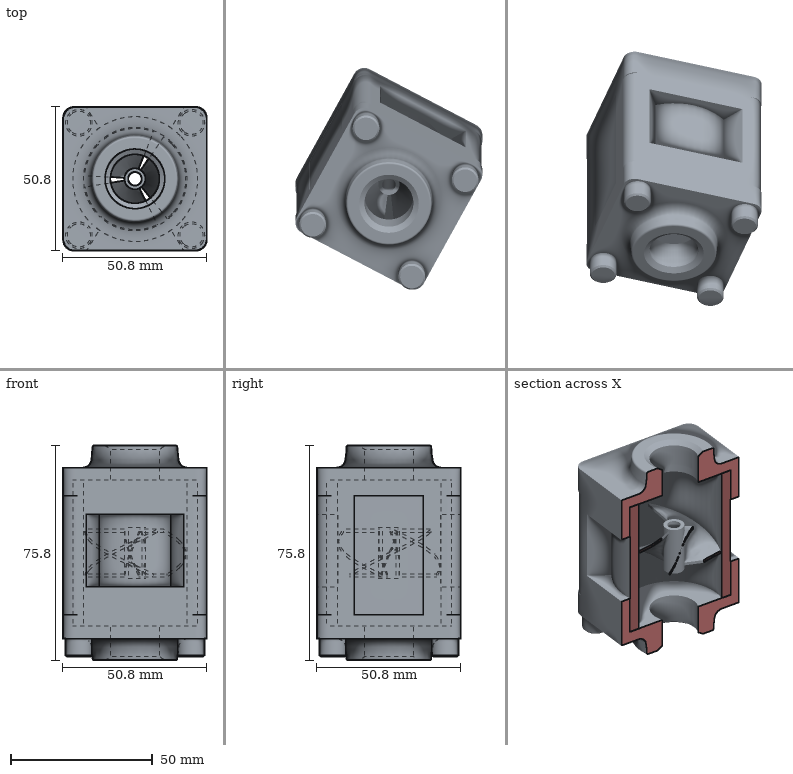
import cadquery as cq
import math

width = 50.8
block_bottom = -30.3
block_top = 30.1
overall_half_height = 37.9
corner_radius = 4.0

relief_radius = 4.85
relief_bottom = -21.9
relief_top = 20.2
relief_height = relief_top - relief_bottom

label_width = 24.35
label_depth = 0.1

neck_top_radius = 15.0
neck_base_radius = 15.4
neck_fillet = 3.0
neck_edge_round = 0.7
bore_radius = 8.65
bore_mouth_radius = 10.55
bore_mouth_depth = 1.4

foot_radius = 4.7
foot_offset = 19.9
foot_bottom = -36.7
foot_chamfer = 0.6

window_width = 34.5
window_bottom = -11.9
window_top = 13.6
window_height = window_top - window_bottom
window_wall_angle = 32.0

tube_radius = 22.1
tube_wall = 3.8
chamber_half_height = 25.7
tube_inner_radius = tube_radius - tube_wall

blade_count = 3
blade_span = 107.0
blade_start = 69.0
blade_thickness = 1.1
blade_pitch = 53.1
blade_clearance = 0.4
blade_radius = tube_inner_radius - blade_clearance
blade_rise = blade_pitch * blade_span / 360
hub_radius = 3.7
hub_hole_radius = 2.35


def rounded_block(radius, bottom, height):
    """Square block with rounded vertical edges."""
    block = cq.Workplane("XY", origin=(0, 0, bottom)).rect(width, width).extrude(height)
    return block.edges("|Z").fillet(radius)


def corner_relief():
    """Slivers that turn the block corners to the larger radius."""
    sharp = cq.Workplane("XY", origin=(0, 0, relief_bottom)).rect(width, width).extrude(relief_height)
    return sharp.cut(rounded_block(relief_radius, relief_bottom, relief_height))


def neck(face_height):
    """Tapered upper port neck with a rounded rim, flaring out onto a block face at face_height."""
    rim_radius = neck_top_radius - neck_edge_round
    rim_height = overall_half_height - neck_edge_round
    root_radius = neck_base_radius + neck_fillet
    flare_top = face_height + neck_fillet
    diagonal = math.sqrt(0.5)
    flare_middle = (root_radius - neck_fillet * diagonal, flare_top - neck_fillet * diagonal)
    rim_middle = (rim_radius + neck_edge_round * diagonal, rim_height + neck_edge_round * diagonal)
    return (
        cq.Workplane("XZ")
        .moveTo(0, chamber_half_height)
        .lineTo(root_radius, chamber_half_height)
        .lineTo(root_radius, face_height)
        .threePointArc(flare_middle, (neck_base_radius, flare_top))
        .lineTo(neck_top_radius, rim_height)
        .threePointArc(rim_middle, (rim_radius, overall_half_height))
        .lineTo(0, overall_half_height)
        .close()
        .revolve(360, (0, 0, 0), (0, 1, 0))
    )


def port_bore():
    """Upper port bore with a conical mouth."""
    return (
        cq.Workplane("XZ")
        .lineTo(bore_radius, 0)
        .lineTo(bore_radius, overall_half_height - bore_mouth_depth)
        .lineTo(bore_mouth_radius, overall_half_height)
        .lineTo(0, overall_half_height)
        .close()
        .revolve(360, (0, 0, 0), (0, 1, 0))
    )


def mirrored_down(upper):
    """Lower counterpart of an upper port shape."""
    return upper.mirror("XY")


def feet():
    """Chamfered round feet under the four corners."""
    side = 2 * foot_offset
    return (
        cq.Workplane("XY", origin=(0, 0, foot_bottom))
        .rect(side, side, forConstruction=True)
        .vertices()
        .circle(foot_radius)
        .extrude(block_bottom - foot_bottom)
        .faces("<Z")
        .chamfer(foot_chamfer)
    )


def windows():
    """Openings in both Y sides whose side walls close in towards the tube."""
    outer = width / 2
    narrowing = outer * math.tan(math.radians(window_wall_angle))
    half_outer = window_width / 2
    half_inner = half_outer - narrowing
    front = (
        cq.Workplane("XY", origin=(0, 0, window_bottom))
        .polyline([(-half_outer, -outer), (half_outer, -outer), (half_inner, 0), (-half_inner, 0)])
        .close()
        .extrude(window_height)
    )
    return front.union(front.mirror("XZ"))


def label_recesses():
    """Shallow rectangular recesses on both X sides."""
    recess = cq.Workplane("XY").box(label_depth, label_width, relief_height)
    recess = recess.translate(((width - label_depth) / 2, 0, (relief_top + relief_bottom) / 2))
    return recess.union(recess.mirror("YZ"))


def tube_chamber():
    """Cylindrical cavity between the two bores, filled around its wall by the sight tube."""
    chamber = cq.Workplane("XY", origin=(0, 0, -chamber_half_height))
    return chamber.circle(tube_radius).extrude(2 * chamber_half_height)


def make_housing():
    housing = rounded_block(corner_radius, block_bottom, block_top - block_bottom)
    housing = housing.cut(corner_relief())
    housing = housing.union(neck(block_top)).union(mirrored_down(neck(-block_bottom)))
    housing = housing.union(feet())
    housing = housing.cut(port_bore()).cut(mirrored_down(port_bore()))
    housing = housing.cut(windows()).cut(label_recesses())
    return housing.cut(tube_chamber())


def make_tube():
    """Plain sight tube filling the chamber height."""
    return tube_chamber().cut(
        cq.Workplane("XY", origin=(0, 0, -chamber_half_height))
        .circle(tube_inner_radius)
        .extrude(2 * chamber_half_height)
    )


def impeller_blade(start_angle):
    """Helical blade climbing counter-clockwise from start_angle."""
    root_radius = (hub_radius + hub_hole_radius) / 2
    path = cq.Workplane(cq.Wire.makeHelix(blade_pitch, blade_rise, root_radius))
    length = blade_radius - root_radius
    blade = (
        cq.Workplane("XZ")
        .center(root_radius + length / 2, 0)
        .rect(length, blade_thickness)
        .sweep(path, isFrenet=True)
    )
    return blade.rotate((0, 0, 0), (0, 0, 1), start_angle).translate((0, 0, -blade_rise / 2))


def make_impeller():
    hub_height = blade_rise + 2 * blade_thickness
    impeller = cq.Workplane("XY").circle(hub_radius).extrude(hub_height / 2, both=True)
    for index in range(blade_count):
        impeller = impeller.union(impeller_blade(blade_start + index * 360 / blade_count))
    bore = cq.Workplane("XY").circle(hub_hole_radius).extrude(hub_height, both=True)
    return impeller.cut(bore)


housing = make_housing()
tube = make_tube()
impeller = make_impeller()
result = cq.Compound.makeCompound([housing.val(), tube.val(), impeller.val()])